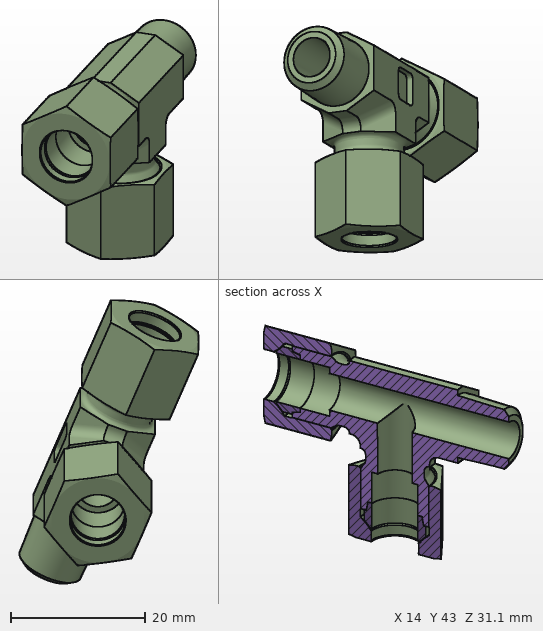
import cadquery as cq
import math


PORT_TURNS = (90, 180)

BLOCK_WIDTH = 12.0
SIDE_FLAT = 7.0
NARROW_FLAT = 3.0
SLOPE_ANGLE = math.radians(30)
PORT_FACE = 8.0
STUD_FACE = 11.0
CROTCH_RADIUS = 1.5

RECESS_SIZE = 5.0
RECESS_CORNER = 0.8
RECESS_DEPTH = 1.0

STUD_END = 20.0
STUD_DIAMETER = 10.35
STUD_STRAIGHT = 1.05
STUD_TIP = 7.9
STUD_CHAMFER = 0.8
TAPER = 1 / 16

BORE_DIAMETER = 6.0
TUBE_DIAMETER = 8.0
TUBE_STOP = 11.5
THREAD_DIAMETER = 12.0
GROOVE_DIAMETER = 10.4
GROOVE_STRAIGHT = 1.0
GROOVE_EXIT = math.radians(35)
SPIGOT_END = 18.0

RING_MOUTH = 10.0
RING_TIP = 9.4
RING_COLLAR = 10.92
RING_SETBACK = 0.4
NOSE_ANGLE = math.radians(12)

NUT_FLATS = 14.0
NUT_LENGTH = 12.0
NUT_END = 23.0
NUT_CHAMFER_DIAMETER = 13.85
NUT_CHAMFER_ANGLE = math.radians(12)
NUT_BORE = 8.2
NUT_BORE_LENGTH = 1.85
NUT_MOUTH = 8.43
NUT_MOUTH_DEPTH = 0.25
NUT_ENTRY = 12.5

HALF_WIDTH = BLOCK_WIDTH / 2
SLOPE_OUT = HALF_WIDTH - NARROW_FLAT / 2
SLOPE_IN = SLOPE_OUT * math.tan(SLOPE_ANGLE)
HALF_HEIGHT = SIDE_FLAT / 2 + SLOPE_IN

NUT_FACE = NUT_END - NUT_LENGTH
SEAT_END = NUT_END - NUT_BORE_LENGTH
RING_END = SEAT_END - RING_SETBACK
NOSE_TIP = SPIGOT_END - (RING_MOUTH - RING_TIP) / 2 / math.tan(NOSE_ANGLE)


def revolve_profile(outline):
    """Turn an outline, drawn as (radius, height) in the XZ plane, around the Z axis."""
    return outline.close().revolve(360, (0, 0, 0), (0, 1, 0))


def cylinder(diameter, start, end):
    return cq.Workplane("XY").workplane(offset=start).circle(diameter / 2).extrude(end - start)


def to_port(part, turn):
    """Carry a part built along +Z to a port."""
    return part.rotate((0, 0, 0), (1, 0, 0), turn)


def block_prism(start, end):
    """Eight-sided bar along Z with its wide flats facing +X and -X."""
    side = SIDE_FLAT / 2
    narrow = NARROW_FLAT / 2
    corners = [
        (HALF_WIDTH, -side), (HALF_WIDTH, side), (narrow, HALF_HEIGHT), (-narrow, HALF_HEIGHT),
        (-HALF_WIDTH, side), (-HALF_WIDTH, -side), (-narrow, -HALF_HEIGHT), (narrow, -HALF_HEIGHT),
    ]
    return cq.Workplane("XY").workplane(offset=start).polyline(corners).close().extrude(end - start)


def crotch_fillers(side):
    """Three pieces that round the inner corner on the +Y side (side 1) or the -Y side (side -1)."""
    narrow = NARROW_FLAT / 2
    middle = CROTCH_RADIUS * (1 - math.sqrt(0.5))
    run_tangent = (side * (HALF_HEIGHT + CROTCH_RADIUS), -HALF_HEIGHT)
    arc_middle = (side * (HALF_HEIGHT + middle), -HALF_HEIGHT - middle)
    branch_tangent = (side * HALF_HEIGHT, -HALF_HEIGHT - CROTCH_RADIUS)
    sweeps = [
        (-narrow, cq.Vector(NARROW_FLAT, 0, 0)),
        (narrow, cq.Vector(SLOPE_OUT, -side * SLOPE_IN, SLOPE_IN)),
        (-narrow, cq.Vector(-SLOPE_OUT, -side * SLOPE_IN, SLOPE_IN)),
    ]
    fillers = []
    for start, path in sweeps:
        section = (
            cq.Workplane("YZ")
            .workplane(offset=start)
            .moveTo(side * HALF_HEIGHT, -HALF_HEIGHT)
            .lineTo(*run_tangent)
            .threePointArc(arc_middle, branch_tangent)
            .close()
        )
        fillers.append(cq.Solid.extrudeLinear(section.val(), [], path))
    return fillers


def tee_block():
    run_turn, branch_turn = PORT_TURNS
    run = to_port(block_prism(-STUD_FACE, PORT_FACE), run_turn)
    branch = to_port(block_prism(0, PORT_FACE), branch_turn)
    block = run.union(branch)
    for side in (1, -1):
        for filler in crotch_fillers(side):
            block = block.union(cq.Workplane(filler))
    return block.clean()


def side_recess():
    return (
        cq.Workplane("YZ")
        .workplane(offset=-HALF_WIDTH)
        .rect(RECESS_SIZE, RECESS_SIZE)
        .extrude(RECESS_DEPTH)
        .edges("|X")
        .fillet(RECESS_CORNER)
    )


def stud():
    base_radius = STUD_DIAMETER / 2
    taper_start = STUD_FACE + STUD_STRAIGHT
    taper_end = STUD_END - STUD_CHAMFER
    end_radius = base_radius - (taper_end - taper_start) * TAPER / 2
    outline = cq.Workplane("XZ").polyline([
        (0, STUD_FACE), (base_radius, STUD_FACE), (base_radius, taper_start),
        (end_radius, taper_end), (STUD_TIP / 2, STUD_END), (0, STUD_END),
    ])
    return to_port(revolve_profile(outline), PORT_TURNS[0] + 180)


def spigot():
    """Outer shape of a port: a rounded groove behind a thread cylinder."""
    groove = GROOVE_DIAMETER / 2
    thread = THREAD_DIAMETER / 2
    radius = thread - groove
    root_end = PORT_FACE + radius
    exit_start = root_end + GROOVE_STRAIGHT
    middle = radius * math.sqrt(0.5)
    half_exit = GROOVE_EXIT / 2
    arc_end = (
        groove + radius * (1 - math.cos(GROOVE_EXIT)),
        exit_start + radius * math.sin(GROOVE_EXIT),
    )
    arc_middle = (
        groove + radius * (1 - math.cos(half_exit)),
        exit_start + radius * math.sin(half_exit),
    )
    thread_start = arc_end[1] + (thread - arc_end[0]) / math.tan(GROOVE_EXIT)
    outline = (
        cq.Workplane("XZ")
        .moveTo(0, PORT_FACE)
        .lineTo(thread, PORT_FACE)
        .threePointArc((thread - middle, root_end - middle), (groove, root_end))
        .lineTo(groove, exit_start)
        .threePointArc(arc_middle, arc_end)
        .lineTo(thread, thread_start)
        .lineTo(thread, SPIGOT_END)
        .lineTo(0, SPIGOT_END)
    )
    return revolve_profile(outline)


def port_bore():
    """Bore, tube seat and conical ring seat of a port."""
    outline = cq.Workplane("XZ").polyline([
        (0, 0), (BORE_DIAMETER / 2, 0), (BORE_DIAMETER / 2, TUBE_STOP),
        (TUBE_DIAMETER / 2, TUBE_STOP), (TUBE_DIAMETER / 2, NOSE_TIP),
        (RING_TIP / 2, NOSE_TIP), (RING_MOUTH / 2, SPIGOT_END), (0, SPIGOT_END),
    ])
    return revolve_profile(outline)


def tee_body():
    body = tee_block().cut(side_recess()).union(stud())
    for turn in PORT_TURNS:
        body = body.union(to_port(spigot(), turn))
    for turn in PORT_TURNS:
        body = body.cut(to_port(port_bore(), turn))
    stud_bore = cylinder(BORE_DIAMETER, -STUD_END, 0)
    return body.cut(to_port(stud_bore, PORT_TURNS[0]))


def cutting_ring(turn):
    """Ring with a conical nose in the spigot and a 45 degree shoulder in the nut."""
    end_radius = NUT_BORE / 2 + RING_SETBACK
    collar_end = RING_END - (RING_COLLAR / 2 - end_radius)
    outline = cq.Workplane("XZ").polyline([
        (TUBE_DIAMETER / 2, NOSE_TIP), (RING_TIP / 2, NOSE_TIP), (RING_MOUTH / 2, SPIGOT_END),
        (RING_COLLAR / 2, SPIGOT_END), (RING_COLLAR / 2, collar_end),
        (end_radius, RING_END), (TUBE_DIAMETER / 2, RING_END),
    ])
    return to_port(revolve_profile(outline), turn)


def nut_envelope():
    """Turned shape that chamfers the hexagon corners at both ends."""
    flat_radius = NUT_CHAMFER_DIAMETER / 2
    corner_radius = NUT_FLATS / math.sqrt(3)
    drop = (corner_radius - flat_radius) * math.tan(NUT_CHAMFER_ANGLE)
    outline = cq.Workplane("XZ").polyline([
        (0, NUT_FACE), (flat_radius, NUT_FACE), (corner_radius, NUT_FACE + drop),
        (corner_radius, NUT_END - drop), (flat_radius, NUT_END), (0, NUT_END),
    ])
    return revolve_profile(outline)


def nut_bore():
    """Countersunk thread bore, 45 degree ring seat and tube hole with a chamfered mouth."""
    thread = THREAD_DIAMETER / 2
    hole = NUT_BORE / 2
    entry_depth = NUT_ENTRY / 2 - thread
    outline = cq.Workplane("XZ").polyline([
        (0, NUT_FACE), (NUT_ENTRY / 2, NUT_FACE), (thread, NUT_FACE + entry_depth),
        (thread, SEAT_END - (thread - hole)), (hole, SEAT_END),
        (hole, NUT_END - NUT_MOUTH_DEPTH), (NUT_MOUTH / 2, NUT_END), (0, NUT_END),
    ])
    return revolve_profile(outline)


def union_nut(turn):
    hexagon = (
        cq.Workplane("XY")
        .workplane(offset=NUT_FACE)
        .polygon(6, NUT_FLATS, circumscribed=True)
        .extrude(NUT_LENGTH)
    )
    nut = hexagon.intersect(nut_envelope()).cut(nut_bore())
    return to_port(nut, turn)


body = tee_body()
rings = [cutting_ring(turn) for turn in PORT_TURNS]
nuts = [union_nut(turn) for turn in PORT_TURNS]

result = cq.Compound.makeCompound([
    body.val(),
    *[ring.val() for ring in rings],
    *[nut.val() for nut in nuts],
])